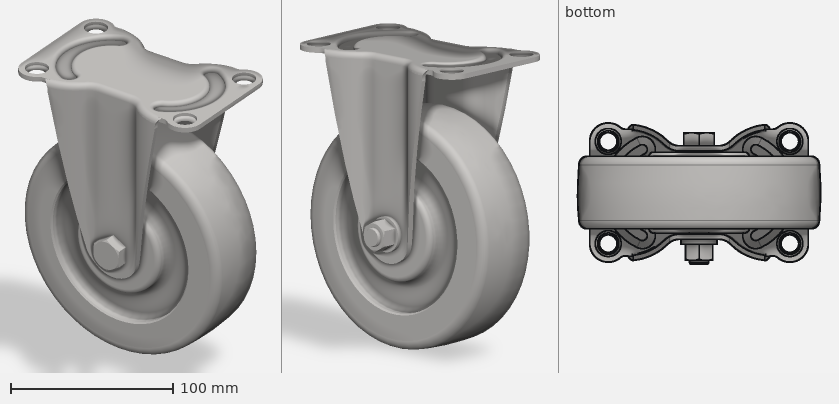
import cadquery as cq
import math


plate_top = 112.0
sheet = 3.2
plate_underside = plate_top - sheet
cut_margin = 1.0

plate_length = 135.0
plate_width = 86.0
hole_spacing_x = 112.0
hole_spacing_y = 63.0
lobe_radius = (plate_width - hole_spacing_y) / 2
neck_half_width = 39.2
neck_blend_radius = 4.0

hole_bore_radius = 7.5
hole_bore_depth = 2.0
hole_radius = 5.4
collar_drop = 1.1
collar_root_radius = 8.0
collar_tip_radius = 6.6

bead_center_x = 22.0
bead_radius = 29.6
bead_half_angle = math.radians(64)
bead_depth = 3.05
bead_floor_half_width = 4.7
bead_rim_radius = 3.0
bead_back_height = 2.3
bead_back_root_half_width = 8.0
bead_back_tip_half_width = 3.0

web_outer_y = 28.9
web_half_width = 12.2
bend_angle = math.radians(45)
bend_radius = 10.0
flank_radius = 35.0
fold_radius = 3.9
leg_end_radius = 18.9
leg_top_half_width = 40.5
leg_top_z = plate_top - 7.4
flare_mid_half_width = 41.0
flare_mid_z = plate_top - 3.5

flank_center_x = web_half_width + (bend_radius + flank_radius) * math.sin(bend_angle)
flank_center_y = web_outer_y + bend_radius - (bend_radius + flank_radius) * math.cos(bend_angle)

wheel_radius = 75.0
tread_edge_radius = 74.3
tread_edge_half_width = 17.2
tread_half_width = 22.4
side_face_radius = 68.2
shoulder_mid_radius = 72.7
shoulder_mid_half_width = 20.9
rim_radius = 52.2
rim_lip_radius = 51.2
rim_lip_depth = 1.0
recess_half_width = 14.0
recess_radius = 48.0
recess_fillet_radius = rim_lip_radius - recess_radius
hub_half_width = 25.0
hub_face_radius = 27.9
hub_wall_radius = 31.1
hub_edge_radius = hub_wall_radius - hub_face_radius
hub_foot_radius = 36.2
hub_fillet_radius = hub_foot_radius - hub_wall_radius

corner_inset = 1 - math.sqrt(0.5)

bolt_diameter = 12.0
bolt_tip_y = 44.15
tip_chamfer_length = 1.2
tip_chamfer_depth = 0.6
head_flats = 19.0
head_height = 8.0
washer_diameter = 22.4
washer_thickness = 3.0
nut_flats = 17.0
nut_height = 10.0
hex_chamfer_angle = math.radians(30)


def cylinder_y(diameter, y_start, y_end):
    """Cylinder on the axle line from y_start up to y_end."""
    return cq.Workplane("XZ", origin=(0, y_start, 0)).circle(diameter / 2).extrude(y_start - y_end)


def fork_plan():
    """Waisted outline of the outer fork faces, looking down on it."""

    def bend_point(angle):
        return (
            web_half_width + bend_radius * math.sin(angle),
            web_outer_y + bend_radius * (1 - math.cos(angle)),
        )

    def flank_point(angle):
        return (
            flank_center_x - flank_radius * math.sin(angle),
            flank_center_y + flank_radius * math.cos(angle),
        )

    flank_end = flank_point(0)
    return (
        cq.Workplane("XY", origin=(0, 0, -leg_end_radius))
        .moveTo(0, web_outer_y)
        .lineTo(web_half_width, web_outer_y)
        .threePointArc(bend_point(bend_angle / 2), bend_point(bend_angle))
        .threePointArc(flank_point(bend_angle / 2), flank_end)
        .lineTo(plate_length / 2, flank_end[1])
        .lineTo(plate_length / 2, 0)
        .mirrorX()
        .mirrorY()
    )


def leg_silhouette():
    """Leg shape along Y: round end about the axle, tangent tapering sides, flared top."""
    reach = math.hypot(leg_top_half_width, leg_top_z)
    tangent_angle = math.atan2(leg_top_z, leg_top_half_width) - math.acos(leg_end_radius / reach)
    tangent_x = leg_end_radius * math.cos(tangent_angle)
    tangent_z = leg_end_radius * math.sin(tangent_angle)
    return (
        cq.Workplane("XZ")
        .moveTo(-flank_center_x, plate_top)
        .threePointArc((-flare_mid_half_width, flare_mid_z), (-leg_top_half_width, leg_top_z))
        .lineTo(-tangent_x, tangent_z)
        .threePointArc((0, -leg_end_radius), (tangent_x, tangent_z))
        .lineTo(leg_top_half_width, leg_top_z)
        .threePointArc((flare_mid_half_width, flare_mid_z), (flank_center_x, plate_top))
        .close()
        .extrude(plate_width, both=True)
    )


def fork():
    """Both legs and the waisted middle of the plate, joined by a rounded fold."""
    height = plate_top + leg_end_radius
    outside = fork_plan().extrude(height).faces(">Z").edges().fillet(fold_radius)
    inside = fork_plan().offset2D(-sheet).extrude(height - sheet)
    inside = inside.faces(">Z").edges().fillet(fold_radius - sheet)
    return outside.cut(inside).intersect(leg_silhouette())


def plate_end(side):
    """Flat end of the plate with two round lobes; side is +1 or -1 along X."""
    hole_x = hole_spacing_x / 2
    hole_y = hole_spacing_y / 2
    lobe_start_x = hole_x - math.sqrt(lobe_radius**2 - (neck_half_width - hole_y) ** 2)
    blend_corners = cq.selectors.BoxSelector(
        (side * (lobe_start_x - cut_margin), -plate_width, 0),
        (side * (lobe_start_x + cut_margin), plate_width, plate_top),
    )
    return (
        cq.Workplane("XY", origin=(0, 0, plate_underside))
        .moveTo(side * leg_top_half_width, -neck_half_width)
        .lineTo(side * lobe_start_x, -neck_half_width)
        .threePointArc((side * hole_x, -plate_width / 2), (side * plate_length / 2, -hole_y))
        .lineTo(side * plate_length / 2, hole_y)
        .threePointArc((side * hole_x, plate_width / 2), (side * lobe_start_x, neck_half_width))
        .lineTo(side * leg_top_half_width, neck_half_width)
        .close()
        .extrude(sheet)
        .edges("|Z")
        .edges(blend_corners)
        .fillet(neck_blend_radius)
    )


def bead_outline(plane, side, half_width):
    """Draw a round-ended arc-shaped slot on the given workplane."""
    outer = bead_radius + half_width
    inner = bead_radius - half_width

    def at(radius, angle, past_end=0.0):
        direction = math.copysign(1, angle)
        x = radius * math.cos(angle) - past_end * direction * math.sin(angle)
        y = radius * math.sin(angle) + past_end * direction * math.cos(angle)
        return (side * (bead_center_x + x), y)

    return (
        plane.moveTo(*at(outer, -bead_half_angle))
        .threePointArc(at(outer, 0), at(outer, bead_half_angle))
        .threePointArc(at(bead_radius, bead_half_angle, half_width), at(inner, bead_half_angle))
        .threePointArc(at(inner, 0), at(inner, -bead_half_angle))
        .threePointArc(at(bead_radius, -bead_half_angle, half_width), at(outer, -bead_half_angle))
        .close()
    )


def bead_back(side):
    """Sloping swell of the sheet under a bead."""
    root = cq.Workplane("XY", origin=(0, 0, plate_underside))
    tip = bead_outline(root, side, bead_back_root_half_width).workplane(offset=-bead_back_height)
    return bead_outline(tip, side, bead_back_tip_half_width).loft(ruled=True, combine=True)


def press_bead(body, side):
    """Sink one bead into the plate and round its rim."""
    floor = cq.Workplane("XY", origin=(0, 0, plate_top - bead_depth))
    body = body.cut(bead_outline(floor, side, bead_floor_half_width).extrude(bead_depth))
    reach = bead_radius + bead_floor_half_width + cut_margin
    rim = cq.selectors.BoxSelector(
        (side * bead_center_x, -reach, plate_top - cut_margin),
        (side * (bead_center_x + reach), reach, plate_top + cut_margin),
        boundingbox=True,
    )
    return body.edges(rim).fillet(bead_rim_radius)


def mounting_collars():
    """Tapered collars under the four mounting holes."""
    collar = cq.Solid.makeCone(
        collar_tip_radius, collar_root_radius, collar_drop, cq.Vector(0, 0, -collar_drop)
    )
    return (
        cq.Workplane("XY", origin=(0, 0, plate_underside))
        .rect(hole_spacing_x, hole_spacing_y, forConstruction=True)
        .vertices()
        .eachpoint(lambda location: collar.moved(location))
    )


def mounting_holes():
    """Cutters for the four stepped mounting holes, each step rounded over."""
    round_over = hole_bore_radius - hole_radius
    inset = round_over * corner_inset
    cutter = (
        cq.Workplane("XZ")
        .lineTo(hole_bore_radius, 0)
        .lineTo(hole_bore_radius, -hole_bore_depth)
        .threePointArc(
            (hole_radius + inset, -hole_bore_depth - inset),
            (hole_radius, -hole_bore_depth - round_over),
        )
        .lineTo(hole_radius, -sheet - collar_drop - cut_margin)
        .lineTo(0, -sheet - collar_drop - cut_margin)
        .close()
        .revolve(360, (0, 0, 0), (0, 1, 0))
        .val()
    )
    return (
        cq.Workplane("XY", origin=(0, 0, plate_top))
        .rect(hole_spacing_x, hole_spacing_y, forConstruction=True)
        .vertices()
        .eachpoint(lambda location: cutter.moved(location))
    )


def build_bracket():
    body = fork()
    for side in (-1, 1):
        body = body.union(plate_end(side)).union(bead_back(side))
    for side in (-1, 1):
        body = press_bead(body, side)
    body = body.union(mounting_collars()).cut(mounting_holes())
    return body.cut(cylinder_y(bolt_diameter, -plate_width, plate_width))


def build_wheel():
    """Wheel turned about the axle from a section symmetric about its middle plane."""
    bore_radius = bolt_diameter / 2
    hub_edge_inset = hub_edge_radius * corner_inset
    hub_fillet_inset = hub_fillet_radius * corner_inset
    recess_fillet_inset = recess_fillet_radius * corner_inset
    near_side = (
        cq.Workplane("XY")
        .moveTo(bore_radius, hub_half_width)
        .lineTo(hub_face_radius, hub_half_width)
        .threePointArc(
            (hub_wall_radius - hub_edge_inset, hub_half_width - hub_edge_inset),
            (hub_wall_radius, hub_half_width - hub_edge_radius),
        )
        .lineTo(hub_wall_radius, recess_half_width + hub_fillet_radius)
        .threePointArc(
            (hub_wall_radius + hub_fillet_inset, recess_half_width + hub_fillet_inset),
            (hub_foot_radius, recess_half_width),
        )
        .lineTo(recess_radius, recess_half_width)
        .threePointArc(
            (rim_lip_radius - recess_fillet_inset, recess_half_width + recess_fillet_inset),
            (rim_lip_radius, recess_half_width + recess_fillet_radius),
        )
        .lineTo(rim_lip_radius, tread_half_width - rim_lip_depth)
        .lineTo(rim_radius, tread_half_width)
        .lineTo(side_face_radius, tread_half_width)
        .threePointArc(
            (shoulder_mid_radius, shoulder_mid_half_width),
            (tread_edge_radius, tread_edge_half_width),
        )
        .wire()
        .val()
    )
    far_side = near_side.mirror("XZ")
    bore = cq.Edge.makeLine(
        cq.Vector(bore_radius, -hub_half_width), cq.Vector(bore_radius, hub_half_width)
    )
    crowned_tread = cq.Edge.makeThreePointArc(
        cq.Vector(tread_edge_radius, tread_edge_half_width),
        cq.Vector(wheel_radius, 0),
        cq.Vector(tread_edge_radius, -tread_edge_half_width),
    )
    section = cq.Wire.assembleEdges(
        [bore, *near_side.Edges(), crowned_tread, *far_side.Edges()]
    )
    return cq.Workplane("XY").add(section).toPending().revolve(360, (0, 0, 0), (0, 1, 0))


def hex_prism(flats, y_seat, height, direction):
    """Hexagon with corners up and its free end bevelled; direction is +1 or -1 along Y."""
    corner_radius = flats / math.sqrt(3)
    bevel = (corner_radius - flats / 2) * math.tan(hex_chamfer_angle)
    y_end = y_seat + direction * height
    prism = (
        cq.Workplane("XZ", origin=(0, y_seat, 0))
        .transformed(rotate=(0, 0, 90))
        .polygon(6, 2 * corner_radius)
        .extrude(-direction * height)
    )
    bevelled_round = (
        cq.Workplane("XY")
        .moveTo(0, y_seat)
        .lineTo(corner_radius, y_seat)
        .lineTo(corner_radius, y_end - direction * bevel)
        .lineTo(flats / 2, y_end)
        .lineTo(0, y_end)
        .close()
        .revolve(360, (0, 0, 0), (0, 1, 0))
    )
    return prism.intersect(bevelled_round)


def build_axle():
    nut_seat_y = web_outer_y + washer_thickness
    shank = cylinder_y(bolt_diameter, -web_outer_y, bolt_tip_y)
    shank = shank.faces(">Y").chamfer(tip_chamfer_length, tip_chamfer_depth)
    head = hex_prism(head_flats, -web_outer_y, head_height, -1)
    washer = cylinder_y(washer_diameter, web_outer_y, nut_seat_y)
    nut = hex_prism(nut_flats, nut_seat_y, nut_height, 1)
    return shank.union(head).union(washer).union(nut)


bracket = build_bracket()
wheel = build_wheel()
axle = build_axle()

result = cq.Compound.makeCompound([body.solids().val() for body in (bracket, wheel, axle)])